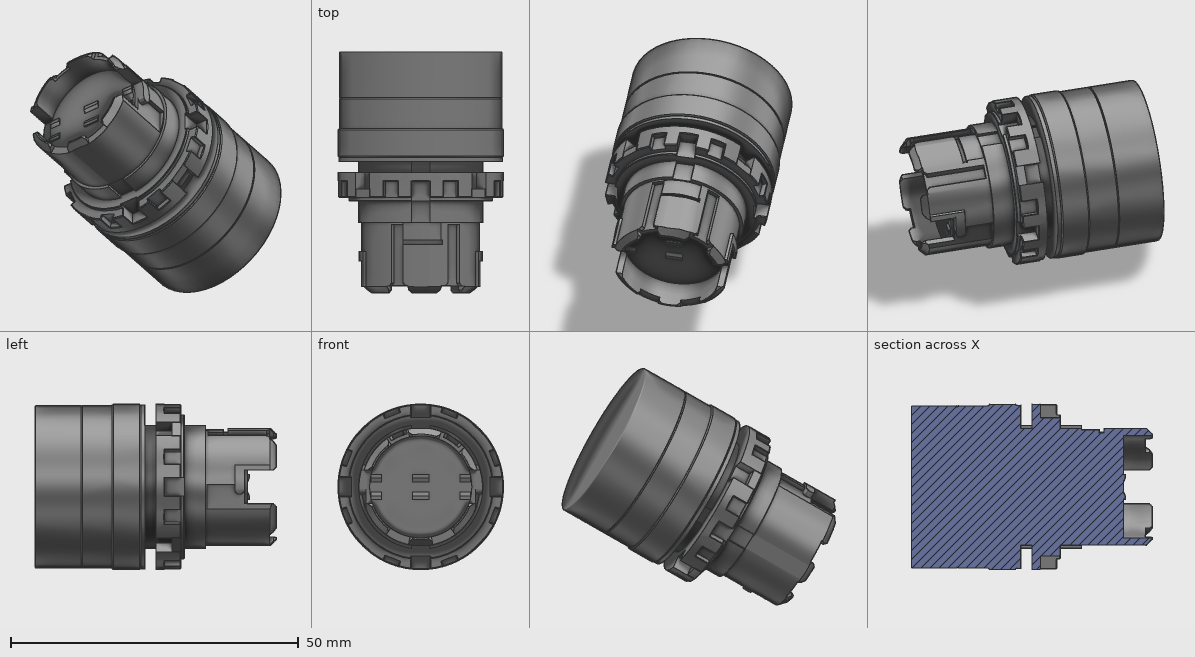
import cadquery as cq
import math

total_length = 41.9
overall_dia = 28.8
nut_r = overall_dia / 2
bezel_r = overall_dia / 2
overreach = 0.4

cap_dia = 28.3
cap_front = 33.95
ring_front = 28.58
bezel_front = 23.55
seat_dia = 28.5
seat_front = 22.85
cap_fillet = 0.2
edge_chamfer = 0.25

neck_r = 10.8
neck_front = 12.28
key_width = 3.2
key_floor = 10.2

nut_back = 20.95
nut_front = 16.6
flange_dia = 25.22
flange_front = 15.95
flange_chamfer = 0.13
nut_chamfer = 0.15
notch_floor_r = 24.1 / 2
notch_back = 19.4
pocket_width = 2.65
pocket_floor_r = 13.32
pocket_angle = 21.4
grip_width = 3.4
grip_front = 18.1
grip_flat_r = 14.15

barrel_r = 10.25
bore_r = 8.9
bore_floor = 5.0
tip_chamfer = 1.1
barrel_flat_width = 2.95
barrel_flat = math.sqrt(barrel_r**2 - (barrel_flat_width / 2) ** 2)

window_half = 2.95
window_floor = 5.55
window_chamfer = 0.5
side_flat_x = 9.5
side_flat_top = 0.4
side_flat_bottom = -3.95
side_flat_back = 12.05
lug_r = 10.73
lug_top = 3.77
lug_bottom = -1.25
lug_back = 7.2
lug_fillet = 0.8

gap_floor = 1.2
tip_flare = 0.5
tip_gaps = [(20.5, 48), (144, 168), (192, 216), (325, 347.5)]

groove_floor_r = 9.5
groove_front = gap_floor
groove_back = 11.85
label_left = -3.05
label_right = 3.5
label_r = 9.97
label_front = 9.18
label_bar_right = 3.77
label_bar_r = 9.43
label_bar_front = 8.42

top_grooves = [(4.75, 41, 1), (-label_left, 29.5, -1)]

rib_height = 0.3
rib_outer_z = 2.18
rib_crest_z = 1.55
rib_inner_z = 0.9
centre_rib_half = 1.45
side_rib_start = 6.8
side_rib_end = 8.67


def cylinder(radius, y_front, y_back):
    """Solid cylinder on the Y axis."""
    plane = cq.Workplane("XZ", origin=(0, y_back, 0))
    return plane.circle(radius).extrude(y_back - y_front)


def shell(inner_r, outer_r, y_front, y_back):
    """Hollow cylinder on the Y axis."""
    plane = cq.Workplane("XZ", origin=(0, y_back, 0))
    return plane.circle(outer_r).circle(inner_r).extrude(y_back - y_front)


def block(x0, x1, y0, y1, z0, z1):
    """Box given by its limits."""
    return cq.Workplane("XY").box(x1 - x0, y1 - y0, z1 - z0, centered=False).translate((x0, y0, z0))


def turned(solid, angle):
    """Turn a solid about the Y axis, from +Z towards +X."""
    return solid.rotate((0, 0, 0), (0, 1, 0), angle)


def sector(start, end, radius, y_front, y_back, taper=0):
    """Pie-shaped prism between two angles."""
    middle = (start + end) / 2

    def rim(angle):
        return radius * math.sin(math.radians(angle)), radius * math.cos(math.radians(angle))

    outline = cq.Workplane("XZ", origin=(0, y_back, 0)).moveTo(0, 0).lineTo(*rim(start))
    return outline.threePointArc(rim(middle), rim(end)).close().extrude(y_back - y_front, taper=taper)


def make_head():
    cap = cylinder(cap_dia / 2, cap_front, total_length).faces(">Y").edges().fillet(cap_fillet)
    ring = cylinder(cap_dia / 2, ring_front, cap_front).faces(">Y").edges().chamfer(edge_chamfer)
    bezel = cylinder(bezel_r, bezel_front, ring_front).edges().chamfer(edge_chamfer)
    seat = cylinder(seat_dia / 2, seat_front, bezel_front)
    return cap.union(ring).union(bezel).union(seat)


def make_neck():
    neck = cylinder(neck_r, neck_front, seat_front)
    keyway = block(-key_width / 2, key_width / 2, neck_front, seat_front, key_floor, neck_r + overreach)
    return neck.cut(keyway).cut(turned(keyway, 180))


def outer_flare(width, y_front, y_back):
    """Flared mouth of an opening on the outside of the nut, at the +Z side."""
    plane = cq.Workplane("XY", origin=(0, (y_front + y_back) / 2, nut_r - nut_chamfer))
    return plane.rect(width, y_back - y_front).extrude(nut_chamfer + overreach, taper=-45)


def front_flare(width, floor_r, y_front):
    """Flared mouth of an opening on a front face of the nut, at the +Z side."""
    top = nut_r + overreach
    plane = cq.Workplane("XZ", origin=(0, y_front + nut_chamfer, (floor_r + top) / 2))
    return plane.rect(width, top - floor_r).extrude(nut_chamfer, taper=-45)


def make_nut():
    reach = nut_r + overreach
    flange_r = flange_dia / 2
    nut = cylinder(nut_r, nut_front, nut_back).faces("<Y").edges().chamfer(nut_chamfer)
    flange = cylinder(flange_r, flange_front, nut_front).faces("<Y").edges().chamfer(flange_chamfer)
    nut = nut.union(flange)

    notch = block(-key_width / 2, key_width / 2, flange_front, notch_back, notch_floor_r, reach)
    notch = notch.union(outer_flare(key_width, flange_front, notch_back))
    notch = notch.union(front_flare(key_width, notch_floor_r + nut_chamfer, flange_front))
    notch = notch.union(front_flare(key_width, flange_r + nut_chamfer, nut_front))

    pocket = block(-pocket_width / 2, pocket_width / 2, nut_front, notch_back, pocket_floor_r, reach)
    pocket = pocket.union(outer_flare(pocket_width, nut_front, notch_back))
    pocket = pocket.union(front_flare(pocket_width, pocket_floor_r + nut_chamfer, nut_front))

    grip = block(-grip_width / 2, grip_width / 2, grip_front, nut_back, notch_floor_r, reach)
    grip_flat = block(-grip_width / 2, grip_width / 2, nut_front, grip_front, grip_flat_r, reach)

    for quarter in (0, 90, 180, 270):
        nut = nut.cut(turned(notch, quarter))
        nut = nut.cut(turned(grip.union(grip_flat), quarter + 45))
        for side in (-1, 1):
            nut = nut.cut(turned(pocket, quarter + side * pocket_angle))
    return nut


def make_lug():
    """L-shaped bayonet lug on the +X side, with an arm reaching along the window edge."""
    hook = block(0, lug_r, window_floor, lug_back, lug_bottom, lug_top)
    hook = hook.faces("<Z").edges("|X").fillet(lug_fillet)
    arm = block(0, lug_r, tip_chamfer, lug_back, window_half, lug_top)
    return hook.union(arm).intersect(shell(bore_r, lug_r, 0, lug_back))


def make_window():
    """Window through the wall on the +X side, flared at the tip."""
    mouth = window_half + window_chamfer
    points = [
        (0, -mouth),
        (window_chamfer, -window_half),
        (window_floor, -window_half),
        (window_floor, window_half),
        (window_chamfer, window_half),
        (0, mouth),
    ]
    prism = cq.Workplane("YZ").polyline(points).close().extrude(lug_r + overreach)
    return prism.cut(cylinder(bore_r, bore_floor, window_floor))


def make_tip_gap(start, end):
    """Gap between two tip segments with a 45 degree flare at the mouth."""
    gap = sector(start, end, lug_r + overreach, 0, gap_floor)
    return gap.union(sector(start, end, lug_r + overreach, 0, tip_flare, taper=-45))


def make_top_groove(inner_x, outer_angle, side):
    """Axial groove beside the label: upright inner wall, radial outer wall and flared front end."""
    inner_angle = math.degrees(math.asin(inner_x / barrel_r))
    flare_back = groove_front + tip_flare
    groove = sector(0, outer_angle, lug_r, groove_front, groove_back)
    groove = groove.intersect(block(inner_x, lug_r, groove_front, groove_back, 0, lug_r))
    groove = groove.union(sector(inner_angle, outer_angle, lug_r, groove_front, flare_back, taper=-45))
    groove = groove.cut(cylinder(groove_floor_r, groove_front, groove_back))
    return groove if side > 0 else groove.mirror("YZ")


def make_barrel():
    barrel = cylinder(barrel_r, 0, neck_front)
    barrel = barrel.faces("<Y").edges().chamfer(tip_chamfer)
    barrel = barrel.cut(cylinder(bore_r, 0, bore_floor))
    flat = block(-barrel_r, barrel_r, 0, neck_front, barrel_flat, barrel_r + overreach)
    barrel = barrel.cut(flat).cut(turned(flat, 180))

    side_flat = block(side_flat_x, lug_r, 0, side_flat_back, side_flat_bottom, side_flat_top)
    lug = make_lug()
    window = make_window()
    barrel = barrel.cut(side_flat).cut(side_flat.mirror("YZ"))
    barrel = barrel.union(lug).union(lug.mirror("YZ"))
    barrel = barrel.cut(window).cut(window.mirror("YZ"))

    for start, end in tip_gaps:
        barrel = barrel.cut(make_tip_gap(start, end))
    for inner_x, outer_angle, side in top_grooves:
        barrel = barrel.cut(make_top_groove(inner_x, outer_angle, side))

    label = block(label_left, label_right, label_front, neck_front, 0, lug_r)
    bar = block(label_left, label_bar_right, label_bar_front, label_front, 0, lug_r)
    barrel = barrel.cut(label.cut(cylinder(label_r, 0, neck_front)))
    return barrel.cut(bar.cut(cylinder(label_bar_r, 0, neck_front)))


def make_rib(x0, x1):
    """Contact rib above the axis, flat on its outer half and sloping on its inner half."""
    crest = bore_floor - rib_height
    points = [
        (bore_floor, rib_outer_z),
        (crest, rib_outer_z),
        (crest, rib_crest_z),
        (bore_floor, rib_inner_z),
    ]
    return cq.Workplane("YZ", origin=(x0, 0, 0)).polyline(points).close().extrude(x1 - x0)


def make_ribs():
    """Three ribs above the axis and their mirror images below it."""
    ribs = make_rib(-centre_rib_half, centre_rib_half)
    ribs = ribs.union(make_rib(side_rib_start, side_rib_end))
    ribs = ribs.union(make_rib(-side_rib_end, -side_rib_start))
    return ribs.union(ribs.mirror("XY"))


result = make_head().union(make_neck()).union(make_nut()).union(make_barrel()).union(make_ribs())